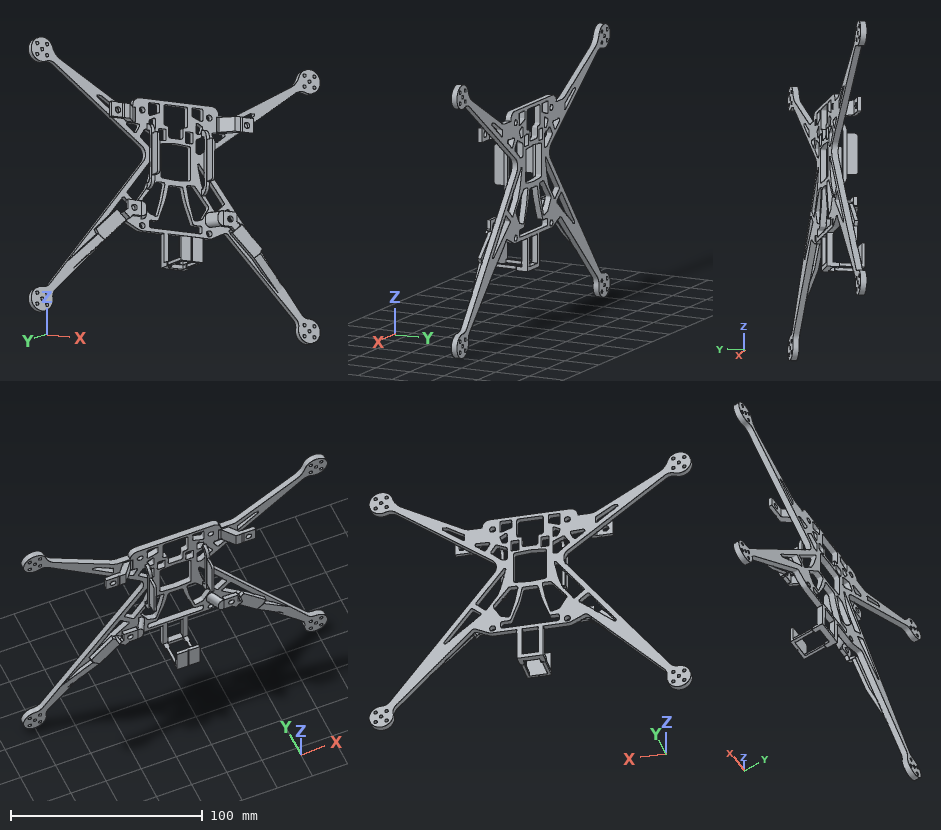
import cadquery as cq
import math


PLATE_DEPTH = 3.5
PLATE_TOP = 47.1
PLATE_BOTTOM = -23.9
PLATE_HALF_WIDTH = 25.8
CORNER_RADIUS = 4.3
SHOULDER_Z = 42.6
SHOULDER = (34.0, SHOULDER_Z)
SHOULDER_RADIUS = 7.8
WAIST = (15.8, 18.0)
WAIST_RADIUS = 5.7
LOWER_ARMPIT = (30.3, -19.5)
ARMPIT_RADIUS = 1.7
LOWER_CORNER_X = 21.5
LOWER_CORNER_RADIUS = 5.2
PLATE_HOLES = ((20.1, 40.7), (20.1, -21.1))
PLATE_HOLE_DIAMETER = 3.1

MOTOR_RADIUS = 6.5
MOTOR_X = 86.6 - MOTOR_RADIUS
MOTOR_Z = 73.3 - MOTOR_RADIUS
ARM_END_X = 78.0
UPPER_ARM_END_Z = (67.5, 64.0)
LOWER_ARM_END_Z = (-61.3, -66.9)
ARM_END_FILLETS = (
    ((73.6, 65.1), 10.4),
    ((75.4, 62.0), 5.2),
    ((77.5, -60.6), 5.2),
    ((74.3, -63.2), 5.2),
)
MOTOR_SHAFT_DIAMETER = 1.7
MOTOR_SCREW_DIAMETER = 1.7
MOTOR_SCREW_PITCH = 5.9

TAB_FRONT = 10.5
TAB_BACK = 8.3
TAB_HEIGHT = 8.0
TAB_HOLE_DIAMETER = 3.1
UPPER_TAB_X = (31.4, 42.6)
UPPER_TAB_TOP = 41.5
UPPER_LEG_WIDTH = 4.3
UPPER_LEG_LEAN = 5.7
UPPER_FOOT_X = (24.5, 30.0)
UPPER_FOOT_HEIGHT = 0.2
UPPER_TAB_GROOVE_X = (34.8, 35.9)
UPPER_TAB_GROOVE_DEPTH = 0.2
UPPER_TAB_HOLE = (38.6, 37.5)
LOWER_TAB_TOP = -9.7
LOWER_TAB_HINGE_X = 24.6
LOWER_TAB_OUTER_X = 32.5
LOWER_TAB_SIDE_BOTTOM = -14.5
LOWER_TAB_FOOT_X = 29.3
LOWER_TAB_NOSE_X = 21.3
LOWER_NOSE_RADIUS = 3.0
LOWER_LEG_LEAN = 3.6
LOWER_TAB_HOLE = (28.8, -13.7)

STRAP_BACK = 5.0
STRAP_FRONT = 7.3
STRAP_END = ((35.0, -16.5), (31.4, -19.5))
STRAP_BEND = (44.7, -32.2)
STRAP_TIP = (61.2, -48.2)
STRAP_FLAT = [(31.5, -20.1), STRAP_BEND, (48.3, -29.5), (49.9, -26.7), (37.2, -14.7)]
RAMP_WIDTH = 4.9
RISER_OFFSET = (1.2, 1.4)
RISER_LEAN = 0.7

RAIL_OUTER_X = 17.3
RAIL_WIDTH = 1.9
RAIL_Z = (-1.4, 33.6)
RAIL_FRONT = 8.5
RAIL_THICKNESS = 2.3
RAIL_FOOT_HEIGHT = 3.5
RAIL_OUTER_RADIUS = 4.9
RAIL_INNER_RADIUS = 2.5
FIN_X = (15.8, 17.2)
FIN_FRONT = 14.5
FIN_Z = (5.4, 27.7)
FIN_CORNER_RADIUS = 1.7

HOOK_FRONT = 20.6
HOOK_BOTTOM = -42.0
HOOK_TOP = -28.2
HOOK_THICKNESS = 1.9
POST_X = (4.3, 7.1)
HOOK_ARM_X = (4.9, 6.5)
HOOK_ARM_BOTTOM = -41.4
HOOK_ROOT_FRONT = 6.8
HOOK_GROOVE = 0.5


def front_plane(depth=0.0):
    """Workplane whose normal points to -Y, lying `depth` in front of the back face."""
    return cq.Workplane("XZ").workplane(offset=depth)


def prism(points, back, front, radius=0.0):
    """Straight prism between two depths, with its corners rounded."""
    body = front_plane(back).polyline(points).close().extrude(front - back)
    return body.edges("|Y").fillet(radius) if radius else body


def box(x_range, z_range, back, front):
    (x0, x1), (z0, z1) = x_range, z_range
    return prism([(x0, z0), (x1, z0), (x1, z1), (x0, z1)], back, front)


def leaning_prism(outline, lean_x, lean_z, front, back):
    """Prism from `front` back to `back`, sliding sideways by (lean_x, lean_z) on the way."""
    slide = cq.Vector(lean_x, front - back, lean_z)
    return cq.Workplane(cq.Solid.extrudeLinear(outline.val(), [], slide))


def holes(points, diameter, back, front):
    return front_plane(back).pushPoints(points).circle(diameter / 2).extrude(front - back)


def round_edge(body, point, radius, reach=1.0):
    """Fillet the edges along Y that pass near the given point."""
    x, z = point
    near = cq.selectors.BoxSelector((x - reach, -PLATE_DEPTH, z - reach), (x + reach, 0, z + reach))
    return body.edges("|Y").edges(near).fillet(radius)


def motor_mount(z):
    return front_plane().center(MOTOR_X, z).circle(MOTOR_RADIUS).extrude(PLATE_DEPTH)


def motor_holes(z):
    centre = front_plane().center(MOTOR_X, z)
    shaft = centre.circle(MOTOR_SHAFT_DIAMETER / 2).extrude(PLATE_DEPTH)
    screws = centre.rect(MOTOR_SCREW_PITCH, MOTOR_SCREW_PITCH, forConstruction=True).vertices()
    return shaft.union(screws.circle(MOTOR_SCREW_DIAMETER / 2).extrude(PLATE_DEPTH))


def half_plate():
    top_corner = (PLATE_HALF_WIDTH, PLATE_TOP)
    bottom_corner = (LOWER_CORNER_X, PLATE_BOTTOM)
    outline = [(0, PLATE_TOP), top_corner, (PLATE_HALF_WIDTH, SHOULDER_Z), SHOULDER]
    outline += [(ARM_END_X, z) for z in UPPER_ARM_END_Z] + [WAIST]
    outline += [(ARM_END_X, z) for z in LOWER_ARM_END_Z] + [LOWER_ARMPIT]
    outline += [bottom_corner, (0, PLATE_BOTTOM)]
    body = prism(outline, 0, PLATE_DEPTH)
    rounded = (
        (top_corner, CORNER_RADIUS),
        (SHOULDER, SHOULDER_RADIUS),
        (WAIST, WAIST_RADIUS),
        (LOWER_ARMPIT, ARMPIT_RADIUS),
        (bottom_corner, LOWER_CORNER_RADIUS),
    )
    for corner, radius in rounded:
        body = round_edge(body, corner, radius)
    for z in (MOTOR_Z, -MOTOR_Z):
        body = body.union(motor_mount(z))
    for corner, radius in ARM_END_FILLETS:
        body = round_edge(body, corner, radius)
    for z in (MOTOR_Z, -MOTOR_Z):
        body = body.cut(motor_holes(z))
    return body.cut(holes(PLATE_HOLES, PLATE_HOLE_DIAMETER, 0, PLATE_DEPTH))


POCKETS = (
    ([(16.1, 45.0), (9.9, 45.0), (9.9, 40.4), (16.1, 38.1)], 0.7),
    ([(12.3, 37.6), (16.3, 35.2), (14.5, 31.4), (12.3, 31.4)], 0.7),
    ([(10.2, 31.9), (5.9, 31.9), (5.9, 25.8), (10.2, 25.8)], 0.7),
    ([(21.3, 26.3), (18.2, 30.8), (12.3, 28.0), (12.3, 20.8), (14.9, 20.8)], 0.9),
    ([(44.9, 45.7), (47.1, 45.7), (47.1, 44.9), (35.3, 36.0), (35.3, 39.8)], 0.3),
    ([(31.2, 33.3), (21.1, 33.0), (24.0, 27.7)], 0.9),
    ([(12.6, 17.0), (29.3, -4.3), (23.7, -9.2), (17.5, -0.7), (15.2, 5.4)], 0.5),
    ([(31.4, -6.8), (49.9, -30.5), (26.0, -11.1)], 0.7),
    ([(11.3, 3.3), (6.4, 3.3), (8.3, -6.0), (11.1, -15.5), (15.8, -14.0), (20.0, -7.3)], 1.0),
)
WINDOW_HALF_WIDTH = 8.8
WINDOW_Z = (5.9, 24.0)
WINDOW_BULGE = 0.7
TOP_OPENING = [(0, 45.0), (7.1, 45.0), (7.1, 34.0), (4.2, 34.0), (4.2, 27.5), (0, 27.5)]
LOWER_OPENING_TOP = (4.2, 2.0)
LOWER_OPENING_BEND = ((5.5, -4.5), (8.1, -11.6))
LOWER_OPENING_FOOT = [(10.4, -17.7), (15.8, -17.7), (15.8, -21.7), (0, -21.7)]
OPENING_RADIUS = 1.2


def round_off_axis(body, radius):
    """Round the corners along Y that do not lie on the mirror plane."""
    return body.edges("|Y").edges("not <X").fillet(radius)


def half_openings():
    bottom, top = WINDOW_Z
    window = (
        front_plane()
        .moveTo(0, bottom - WINDOW_BULGE)
        .lineTo(WINDOW_HALF_WIDTH, bottom)
        .lineTo(WINDOW_HALF_WIDTH, top)
        .lineTo(0, top + WINDOW_BULGE)
        .close()
        .extrude(PLATE_DEPTH)
    )
    lower = (
        front_plane()
        .moveTo(0, LOWER_OPENING_TOP[1])
        .lineTo(*LOWER_OPENING_TOP)
        .threePointArc(*LOWER_OPENING_BEND)
        .polyline(LOWER_OPENING_FOOT, includeCurrent=True)
        .close()
        .extrude(PLATE_DEPTH)
    )
    openings = (prism(TOP_OPENING, 0, PLATE_DEPTH), window, lower)
    return [round_off_axis(opening, OPENING_RADIUS) for opening in openings]


def upper_tab():
    z_range = (UPPER_TAB_TOP - TAB_HEIGHT, UPPER_TAB_TOP)
    inner = UPPER_TAB_X[0]
    tab = box(UPPER_TAB_X, z_range, TAB_BACK, TAB_FRONT)
    leg_outline = (
        front_plane(TAB_FRONT)
        .center(inner + UPPER_LEG_WIDTH / 2, UPPER_TAB_TOP - TAB_HEIGHT / 2)
        .rect(UPPER_LEG_WIDTH, TAB_HEIGHT)
    )
    leg = leaning_prism(leg_outline, -UPPER_LEG_LEAN, 0, TAB_FRONT, PLATE_DEPTH)
    foot = box(UPPER_FOOT_X, z_range, PLATE_DEPTH, PLATE_DEPTH + UPPER_FOOT_HEIGHT)
    groove = box(UPPER_TAB_GROOVE_X, z_range, TAB_FRONT - UPPER_TAB_GROOVE_DEPTH, TAB_FRONT)
    tab = tab.union(leg).union(foot).cut(groove)
    return tab.cut(holes([UPPER_TAB_HOLE], TAB_HOLE_DIAMETER, TAB_BACK, TAB_FRONT))


def lower_tab():
    top = LOWER_TAB_TOP
    bottom = top - TAB_HEIGHT
    hinge_top = (LOWER_TAB_HINGE_X, top)
    hinge_bottom = (LOWER_TAB_HINGE_X, bottom)
    outer_side = [(LOWER_TAB_OUTER_X, top), (LOWER_TAB_OUTER_X, LOWER_TAB_SIDE_BOTTOM)]
    outline = [hinge_top, *outer_side, *STRAP_END, (LOWER_TAB_FOOT_X, bottom), hinge_bottom]
    tab = prism(outline, TAB_BACK, TAB_FRONT)
    nose = (
        front_plane(TAB_FRONT)
        .moveTo(*hinge_top)
        .lineTo(LOWER_TAB_NOSE_X + LOWER_NOSE_RADIUS, top)
        .tangentArcPoint((LOWER_TAB_NOSE_X, top - LOWER_NOSE_RADIUS), relative=False)
        .lineTo(LOWER_TAB_NOSE_X, bottom + LOWER_NOSE_RADIUS)
        .tangentArcPoint((LOWER_TAB_NOSE_X + LOWER_NOSE_RADIUS, bottom), relative=False)
        .lineTo(*hinge_bottom)
        .close()
    )
    leg = leaning_prism(nose, -LOWER_LEG_LEAN, 0, TAB_FRONT, PLATE_DEPTH)
    return tab.union(leg).cut(holes([LOWER_TAB_HOLE], TAB_HOLE_DIAMETER, TAB_BACK, TAB_FRONT))


def strap():
    """Flat strap from the lower tab along the arm, ramping down onto it."""
    flat = prism(STRAP_FLAT, STRAP_BACK, STRAP_FRONT)

    riser_inner_edge = [(x - RISER_OFFSET[0], z + RISER_OFFSET[1]) for x, z in reversed(STRAP_END)]
    riser_outline = front_plane(TAB_FRONT).polyline([*STRAP_END, *riser_inner_edge]).close()
    riser = leaning_prism(riser_outline, RISER_LEAN, -RISER_LEAN, TAB_FRONT, STRAP_BACK)

    run_x = STRAP_TIP[0] - STRAP_BEND[0]
    run_z = STRAP_TIP[1] - STRAP_BEND[1]
    run = math.hypot(run_x, run_z)
    thickness = STRAP_FRONT - STRAP_BACK
    drop = STRAP_FRONT - PLATE_DEPTH
    landing = run * (STRAP_BACK - PLATE_DEPTH) / drop
    side_plane = cq.Plane(
        origin=(STRAP_BEND[0], -STRAP_FRONT, STRAP_BEND[1]),
        xDir=(run_x, 0, run_z),
        normal=(-run_z, 0, run_x),
    )
    profile = [(0, 0), (run, drop), (landing, drop), (0, thickness)]
    ramp = cq.Workplane(side_plane).polyline(profile).close().extrude(RAMP_WIDTH)
    return flat.union(riser).union(ramp)


def rail():
    """Bridge standing off the plate, with a thin fin along its front."""
    bottom, top = RAIL_Z
    inner_x = RAIL_OUTER_X - RAIL_WIDTH
    bridge = box((inner_x, RAIL_OUTER_X), RAIL_Z, PLATE_DEPTH, RAIL_FRONT)
    bridge = bridge.edges("|X and <Y").fillet(RAIL_OUTER_RADIUS)
    gap_z = (bottom + RAIL_FOOT_HEIGHT, top - RAIL_FOOT_HEIGHT)
    gap = box((inner_x, RAIL_OUTER_X), gap_z, PLATE_DEPTH, RAIL_FRONT - RAIL_THICKNESS)
    gap = gap.edges("|X and <Y").fillet(RAIL_INNER_RADIUS)
    fin = box(FIN_X, FIN_Z, RAIL_FRONT - RAIL_THICKNESS, FIN_FRONT)
    fin = fin.edges("|X and <Y").fillet(FIN_CORNER_RADIUS)
    return bridge.cut(gap).union(fin)


def half_hook():
    """Post below the plate, an arm to the front and half of the upright lip."""
    arm_top = HOOK_ARM_BOTTOM + HOOK_THICKNESS
    post = box(POST_X, (HOOK_BOTTOM, PLATE_BOTTOM), 0, PLATE_DEPTH)
    crossbar = box((0, POST_X[0]), (HOOK_BOTTOM, arm_top), 0, PLATE_DEPTH)
    root = box(POST_X, (HOOK_BOTTOM, arm_top), PLATE_DEPTH, HOOK_ROOT_FRONT)
    arm = box(HOOK_ARM_X, (HOOK_ARM_BOTTOM, arm_top), PLATE_DEPTH, HOOK_FRONT)
    lip_z = (HOOK_ARM_BOTTOM, HOOK_TOP)
    lip = box((0, HOOK_ARM_X[1]), lip_z, HOOK_FRONT - HOOK_THICKNESS, HOOK_FRONT)
    groove = box((0, HOOK_GROOVE / 2), lip_z, HOOK_FRONT - HOOK_GROOVE, HOOK_FRONT)
    return post.union(crossbar).union(root).union(arm).union(lip.cut(groove))


half = half_plate()
for opening in half_openings():
    half = half.cut(opening)
for points, radius in POCKETS:
    half = half.cut(prism(points, 0, PLATE_DEPTH, radius))
for feature in (upper_tab(), lower_tab(), strap(), rail(), half_hook()):
    half = half.union(feature)
result = half.union(half.mirror("YZ"))